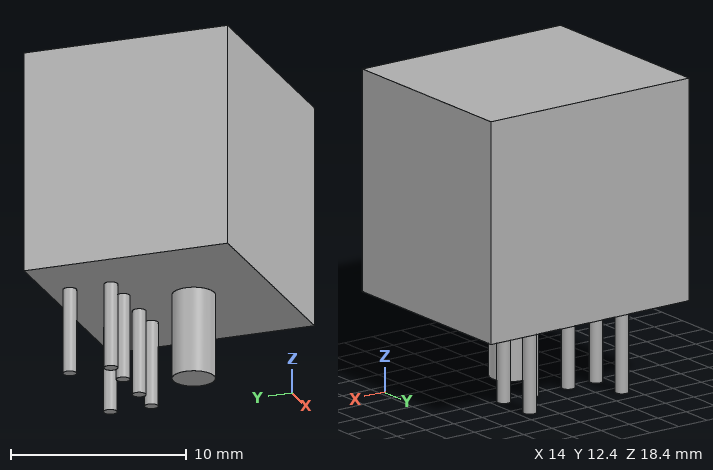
import cadquery as cq

width = 14.0
depth = 12.4
total_height = 18.4
leg_length = 5.1

pin_diameter = 0.8
outer_pin_x = 3.25
inner_pin_x = 1.29
front_row_y = 2.32
rear_row_y = 4.82

post_diameter = 2.48
post_y = -1.49

housing_height = total_height - leg_length
pin_rows = [
    (front_row_y, [-outer_pin_x, -inner_pin_x, inner_pin_x, outer_pin_x]),
    (rear_row_y, [-outer_pin_x, outer_pin_x]),
]


def make_housing():
    """Plain block with its underside on Z = 0."""
    return cq.Workplane("XY").box(width, depth, housing_height, centered=(True, True, False))


def make_leg(x, y, diameter):
    """Round leg hanging from the underside of the housing."""
    return cq.Workplane("XY").center(x, y).circle(diameter / 2).extrude(-leg_length)


def make_post():
    """Thick locating post."""
    return make_leg(0, post_y, post_diameter)


def make_pin(x, y):
    """Thin contact pin."""
    return make_leg(x, y, pin_diameter)


housing = make_housing()
post = make_post()
pins = []
for row_y, row_x_positions in pin_rows:
    for pin_x in row_x_positions:
        pins.append(make_pin(pin_x, row_y).val())

result = cq.Compound.makeCompound([housing.val(), post.val(), *pins])